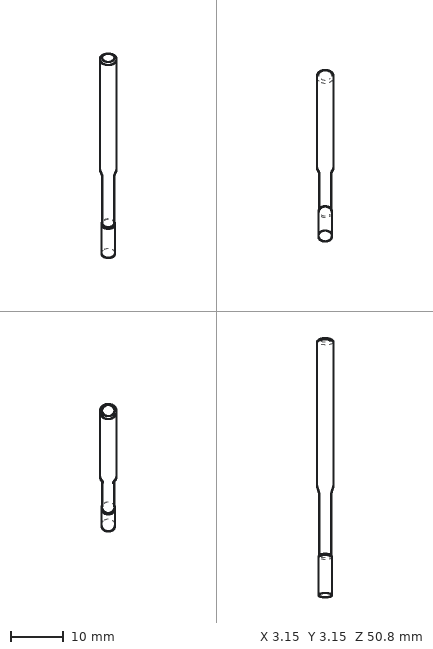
import cadquery as cq

TOTAL_LENGTH = 50.8
HEAD_LENGTH = 7.55
COLLAR_HEIGHT = 0.3
TAPER_BOTTOM = 20.3
TAPER_TOP = 21.75

SHANK_DIAMETER = 3.15
NECK_DIAMETER = 2.35
HEAD_DIAMETER = 2.6

END_CHAMFER_WIDTH = 0.4
END_CHAMFER_HEIGHT = 0.4


def make_shank():
    """Turned shank: flared collar, slim neck, taper, grip and chamfered end."""
    shank_radius = SHANK_DIAMETER / 2
    neck_radius = NECK_DIAMETER / 2
    head_radius = HEAD_DIAMETER / 2
    half_profile = [
        (0, HEAD_LENGTH),
        (head_radius, HEAD_LENGTH),
        (neck_radius, HEAD_LENGTH + COLLAR_HEIGHT),
        (neck_radius, TAPER_BOTTOM),
        (shank_radius, TAPER_TOP),
        (shank_radius, TOTAL_LENGTH - END_CHAMFER_HEIGHT),
        (shank_radius - END_CHAMFER_WIDTH, TOTAL_LENGTH),
        (0, TOTAL_LENGTH),
    ]
    return cq.Workplane("XZ").polyline(half_profile).close().revolve(360, (0, 0), (0, 1))


def make_head():
    """Plain cylindrical head that butts against the collar of the shank."""
    return cq.Workplane("XY").circle(HEAD_DIAMETER / 2).extrude(HEAD_LENGTH)


shank = make_shank()
head = make_head()

result = cq.Compound.makeCompound([shank.val(), head.val()])